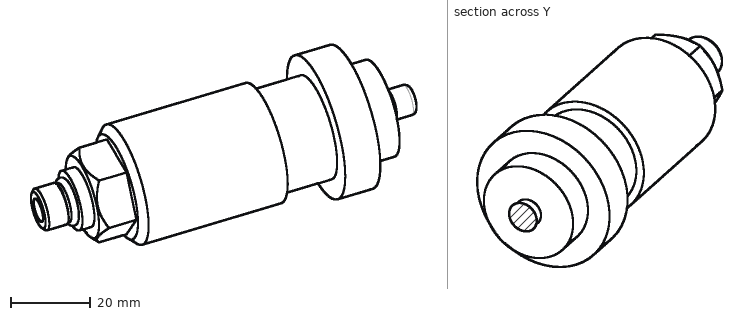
import cadquery as cq
import math

length = 102.7
front_y = -length / 2

plug_radius = 5.5
plug_chamfer = 0.7
plug_length = 6.1
tip_disc_radius = 3.1
tip_recess_depth = 0.1

groove_radius = 5.1
groove_length = 0.9
ring_section_radius = 0.9
ring_outer_radius = 6.4
ring_centre_radius = ring_outer_radius - ring_section_radius

collar_radius = 7.9
collar_length = 3.3
hex_across_flats = 22.2
hex_across_corners = hex_across_flats / math.cos(math.pi / 6)
hex_length = 9.4
hex_face_radius = 10.9
hex_chamfer_angle = 45.0

body_radius = 15.9
body_length = 40.2
body_chamfer = 2.1
waist_radius = 13.8
waist_length = 14.5
flange_diameter = 38.1
flange_radius = flange_diameter / 2
flange_length = 9.7
boss_radius = 12.8
boss_length = 7.9

stem_radius = 3.6
button_radius = 4.0
button_length = 5.9
button_fillet = 1.3

groove_y = front_y + plug_length
ring_y = groove_y + groove_length
collar_y = ring_y + 2 * ring_section_radius
hex_y = collar_y + collar_length
body_y = hex_y + hex_length
waist_y = body_y + body_length
flange_y = waist_y + waist_length
boss_y = flange_y + flange_length
stem_y = boss_y + boss_length
rear_y = front_y + length
button_y = rear_y - button_length


def cylinder(radius, start_y, end_y):
    """Solid cylinder on the Y axis between two stations."""
    plane = cq.Plane(origin=(0, start_y, 0), xDir=(1, 0, 0), normal=(0, 1, 0))
    return cq.Workplane(plane).circle(radius).extrude(end_y - start_y)


def revolve_about_y(profile):
    """Turn a closed XY profile around the Y axis."""
    return profile.revolve(360, (0, 0, 0), (0, 1, 0))


def make_plug():
    plug = cylinder(plug_radius, front_y, groove_y).faces("<Y").chamfer(plug_chamfer)
    recess = cylinder(tip_disc_radius, front_y, front_y + tip_recess_depth)
    return plug.cut(recess)


def make_seal():
    return revolve_about_y(
        cq.Workplane("XY")
        .moveTo(0, groove_y)
        .lineTo(groove_radius, groove_y)
        .lineTo(groove_radius, ring_y)
        .lineTo(ring_centre_radius, ring_y)
        .threePointArc((ring_outer_radius, ring_y + ring_section_radius), (ring_centre_radius, collar_y))
        .lineTo(0, collar_y)
        .close()
    )


def make_hexagon():
    plane = cq.Plane(origin=(0, hex_y, 0), xDir=(1, 0, 0), normal=(0, 1, 0))
    prism = cq.Workplane(plane).polygon(6, hex_across_corners).extrude(hex_length)
    rear_radius = hex_face_radius + hex_length / math.tan(math.radians(hex_chamfer_angle))
    cone = revolve_about_y(
        cq.Workplane("XY")
        .moveTo(0, hex_y)
        .lineTo(hex_face_radius, hex_y)
        .lineTo(rear_radius, body_y)
        .lineTo(0, body_y)
        .close()
    )
    return prism.intersect(cone)


def make_button():
    stem = cylinder(stem_radius, stem_y, button_y)
    button = cylinder(button_radius, button_y, rear_y).faces(">Y").edges().fillet(button_fillet)
    return stem.union(button)


result = (
    cylinder(body_radius, body_y, waist_y)
    .faces("<Y")
    .chamfer(body_chamfer)
    .union(cylinder(waist_radius, waist_y, flange_y))
    .union(cylinder(flange_radius, flange_y, boss_y))
    .union(cylinder(boss_radius, boss_y, stem_y))
    .union(make_button())
    .union(make_hexagon())
    .union(cylinder(collar_radius, collar_y, hex_y))
    .union(make_seal())
    .union(make_plug())
)